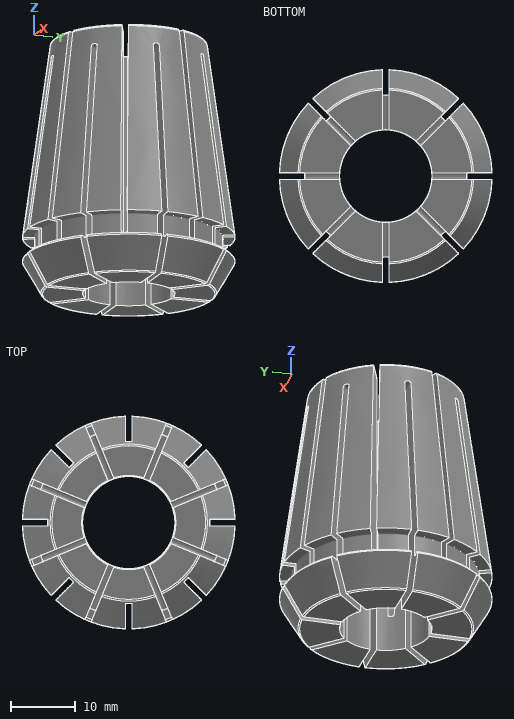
import cadquery as cq
import math

height = 40.0
max_radius = 16.5
bore_radius = 14.3 / 2

taper_bottom = 9.1
taper_angle = 8.0
top_bevel = 0.3

groove_radius = 14.55
groove_fillet = 0.15
flange_top = 5.55
flange_bevel = 0.4
flange_angle = 30.0
bottom_bevel = 0.15

mouth_bevel = 0.15

slot_width = 1.0
slot_corner_radius = 0.4
slots_per_end = 8
lower_slot_end = 37.05
upper_slot_end = 5.9


def cone_drop(length, angle):
    """Change in radius over an axial length of a cone with this half angle."""
    return length * math.tan(math.radians(angle))


def make_body():
    """Revolve the ring-shaped half section about Z."""
    flange_rim = flange_top - flange_bevel
    bottom_radius = max_radius - cone_drop(flange_rim, flange_angle)
    bevel_start = height - top_bevel
    taper_top_radius = max_radius - cone_drop(bevel_start - taper_bottom, taper_angle)
    return (
        cq.Workplane("XZ")
        .moveTo(bore_radius, 0)
        .lineTo(bottom_radius - bottom_bevel, 0)
        .lineTo(bottom_radius + cone_drop(bottom_bevel, flange_angle), bottom_bevel)
        .lineTo(max_radius, flange_rim)
        .lineTo(max_radius - flange_bevel, flange_top)
        .lineTo(groove_radius + groove_fillet, flange_top)
        .radiusArc((groove_radius, flange_top + groove_fillet), groove_fillet)
        .lineTo(groove_radius, taper_bottom - groove_fillet)
        .radiusArc((groove_radius + groove_fillet, taper_bottom), groove_fillet)
        .lineTo(max_radius, taper_bottom)
        .lineTo(taper_top_radius, bevel_start)
        .lineTo(taper_top_radius - top_bevel, height)
        .lineTo(bore_radius + mouth_bevel, height)
        .lineTo(bore_radius, height - mouth_bevel)
        .close()
        .revolve(360, (0, 0), (0, 1))
    )


def make_slot(open_z, end_z):
    """Radial slot along +X, open at one end, with rounded corners at its closed end."""
    half_width = slot_width / 2
    toward_open = math.copysign(1, open_z - end_z)
    corner_z = end_z + toward_open * slot_corner_radius
    flat_half_width = half_width - slot_corner_radius
    return (
        cq.Workplane("YZ")
        .moveTo(-half_width, open_z)
        .lineTo(-half_width, corner_z)
        .radiusArc((-flat_half_width, end_z), -toward_open * slot_corner_radius)
        .lineTo(flat_half_width, end_z)
        .radiusArc((half_width, corner_z), -toward_open * slot_corner_radius)
        .lineTo(half_width, open_z)
        .close()
        .extrude(max_radius + slot_width)
    )


def cut_slots(body, slot, first_angle):
    """Cut the slot at equal steps around the axis."""
    step = 360 / slots_per_end
    for index in range(slots_per_end):
        angle = first_angle + index * step
        body = body.cut(slot.rotate((0, 0, 0), (0, 0, 1), angle))
    return body


half_pitch = 180 / slots_per_end

result = make_body()
result = cut_slots(result, make_slot(0, lower_slot_end), 0)
result = cut_slots(result, make_slot(height, upper_slot_end), half_pitch)